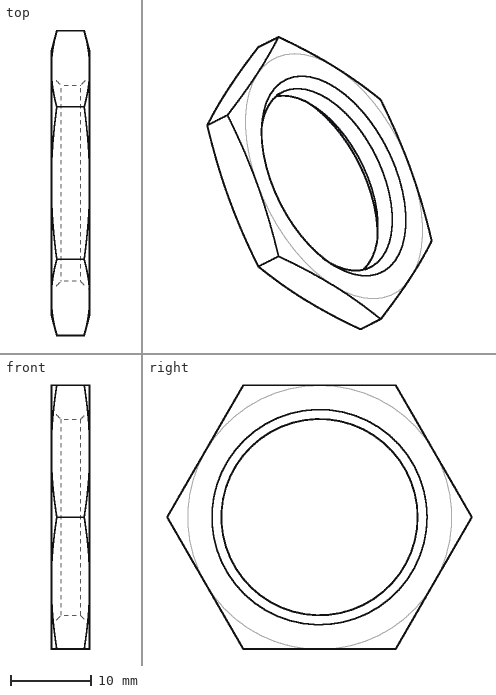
import cadquery as cq
import math

side_count = 6
thickness = 4.8
across_flats = 33.0
bore_diameter = 24.5
countersink_diameter = 26.9
countersink_angle = 45.0
corner_chamfer_angle = 15.0

across_corners = across_flats / math.cos(math.pi / side_count)
flat_radius = across_flats / 2
corner_radius = across_corners / 2
bore_radius = bore_diameter / 2
countersink_radius = countersink_diameter / 2
countersink_depth = (countersink_radius - bore_radius) / math.tan(math.radians(countersink_angle))
corner_chamfer_depth = (corner_radius - flat_radius) * math.tan(math.radians(corner_chamfer_angle))


def hexagonal_blank():
    """Plain hexagonal prism with corners on the Y axis and flats facing Z."""
    return cq.Workplane("YZ").polygon(side_count, across_corners).extrude(thickness)


def turned_envelope():
    """Ring turned about X: conical outer edges, bore and a countersink at each end.

    The profile points are (x, radius).
    """
    profile = [
        (0, countersink_radius),
        (0, flat_radius),
        (corner_chamfer_depth, corner_radius),
        (thickness - corner_chamfer_depth, corner_radius),
        (thickness, flat_radius),
        (thickness, countersink_radius),
        (thickness - countersink_depth, bore_radius),
        (countersink_depth, bore_radius),
    ]
    return cq.Workplane("XY").polyline(profile).close().revolve(axisStart=(0, 0, 0), axisEnd=(1, 0, 0))


result = hexagonal_blank().intersect(turned_envelope())